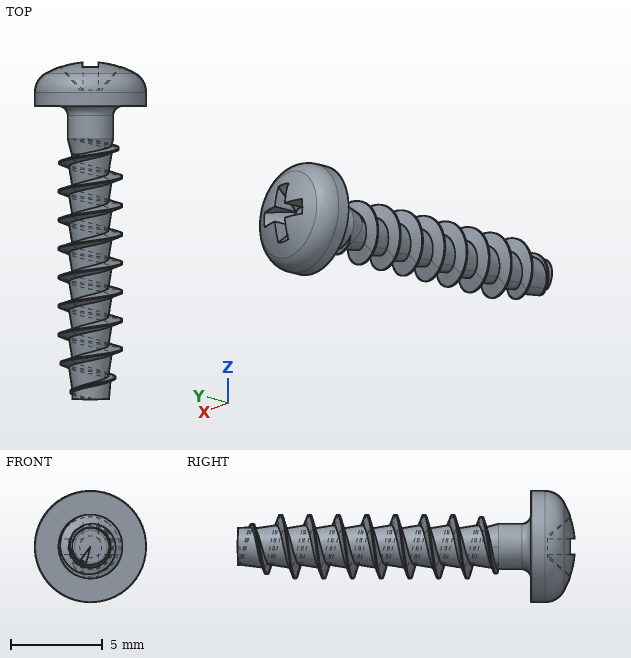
import math
import cadquery as cq


head_radius = 3.05
head_side_height = 0.75
crown_radius = 5.0
head_corner_radius = 1.2
rim_edge_radius = 0.05

recess_radius = 1.95
recess_floor_radius = 0.6
recess_width = 0.85
recess_top = 2.5
recess_floor = 0.9

collar_radius = 1.25
collar_length = 1.78
neck_fillet = 0.5
neck_taper_length = 0.85
neck_end_radius = 1.02
core_radius = 0.99
shank_length = 16.0
point_radius = 0.89
point_height = 0.04

pitch = 1.567
thread_radius = 1.75
crest_width = 0.08
head_flank_angle = 14.0
tip_flank_angle = 19.0
first_crest = -1.91
run_in_start = -0.6
run_in_end = 0.85
run_in_radius = 1.28
run_out_start = 7.57
run_out_end = 8.9
run_out_radius = 1.02

swell_radius = 1.21
swell_fade_start = 7.9
swell_fade_end = 8.8

screw_start = -1.1
screw_turns = 11
samples_per_turn = 16


def ramp(value, start, end):
    """Fraction of the way from start to end, limited to 0..1."""
    return min(1.0, max(0.0, (value - start) / (end - start)))


def make_head():
    """Revolved head, collar and tapered neck."""
    corner_r = head_radius - head_corner_radius
    centre_gap = crown_radius - head_corner_radius
    crown_centre = head_side_height - math.sqrt(centre_gap**2 - corner_r**2)
    crown_top = crown_centre + crown_radius
    blend_angle = math.asin(corner_r / centre_gap)
    blend_r = crown_radius * math.sin(blend_angle)
    blend_y = crown_centre + crown_radius * math.cos(blend_angle)
    corner_angle = (math.pi / 2 + blend_angle) / 2
    crown_mid_angle = blend_angle / 2
    diagonal = math.sqrt(0.5)

    return (
        cq.Workplane("XY")
        .moveTo(0, crown_top)
        .threePointArc(
            (
                crown_radius * math.sin(crown_mid_angle),
                crown_centre + crown_radius * math.cos(crown_mid_angle),
            ),
            (blend_r, blend_y),
        )
        .threePointArc(
            (
                corner_r + head_corner_radius * math.sin(corner_angle),
                head_side_height + head_corner_radius * math.cos(corner_angle),
            ),
            (head_radius, head_side_height),
        )
        .lineTo(head_radius, rim_edge_radius)
        .threePointArc(
            (head_radius - rim_edge_radius * (1 - diagonal), rim_edge_radius * (1 - diagonal)),
            (head_radius - rim_edge_radius, 0),
        )
        .lineTo(collar_radius + neck_fillet, 0)
        .threePointArc(
            (collar_radius + neck_fillet * (1 - diagonal), -neck_fillet * (1 - diagonal)),
            (collar_radius, -neck_fillet),
        )
        .lineTo(collar_radius, -collar_length)
        .lineTo(neck_end_radius, -collar_length - neck_taper_length)
        .lineTo(0, -collar_length - neck_taper_length)
        .close()
        .revolve(360, (0, 0), (0, 1))
    )


def make_recess():
    """Cross of two slots whose wings narrow towards the recess floor."""
    height = recess_top - recess_floor
    base = cq.Workplane("XZ", origin=(0, recess_top, 0))
    cross = base.rect(recess_width, 2 * head_radius).extrude(height)
    cross = cross.union(base.rect(2 * head_radius, recess_width).extrude(height))
    envelope = (
        base.circle(recess_radius)
        .workplane(offset=height)
        .circle(recess_floor_radius)
        .loft(ruled=True)
    )
    return cross.intersect(envelope)


def helix_point(turn, radius, axial):
    """Point on the thread helix; axial shifts it towards the tip."""
    angle = 2 * math.pi * turn
    return cq.Vector(
        radius * math.sin(angle),
        first_crest - pitch * turn - axial,
        -radius * math.cos(angle),
    )


def thread_corners(turn):
    """Head foot, crest edges and tip foot of the tooth, as helix points."""
    rise = (thread_radius - run_in_radius) * (1 - ramp(turn, run_in_start, run_in_end))
    fall = (thread_radius - run_out_radius) * ramp(turn, run_out_start, run_out_end)
    crest = thread_radius - rise - fall
    swell = swell_radius - (swell_radius - core_radius) * ramp(turn, swell_fade_start, swell_fade_end)

    half_crest = crest_width / 2
    head_slope = math.tan(math.radians(head_flank_angle))
    tip_slope = math.tan(math.radians(tip_flank_angle))
    head_foot = half_crest + (crest - core_radius) * head_slope
    taper = (swell - core_radius) / (pitch - head_foot)
    tip_foot = max(half_crest, (half_crest + (crest - swell) * tip_slope) / (1 - taper * tip_slope))
    return [
        helix_point(turn, core_radius, -head_foot),
        helix_point(turn, crest, -half_crest),
        helix_point(turn, crest, half_crest),
        helix_point(turn, swell - taper * tip_foot, tip_foot),
    ]


def turn_rails(start):
    """One turn of the four tooth edges, as splines."""
    rings = [thread_corners(start + i / samples_per_turn) for i in range(samples_per_turn + 1)]
    return [cq.Edge.makeSpline(list(corner)) for corner in zip(*rings)]


def on_axis(point):
    """Foot of the point on the screw axis."""
    return cq.Vector(0, point.y, 0)


def make_screw_end(rail):
    """Helical ramp from a one-turn rail in to the axis."""
    axis = cq.Edge.makeLine(on_axis(rail.startPoint()), on_axis(rail.endPoint()))
    return cq.Face.makeRuledSurface(rail, axis)


def make_screw_cap(tooth, neighbour):
    """Flat radial face closing one pitch: the tooth and the foot of its neighbour."""
    outline = list(tooth)
    if neighbour.y < tooth[0].y:
        outline += [neighbour, on_axis(neighbour), on_axis(tooth[0])]
    else:
        outline += [on_axis(tooth[-1]), on_axis(neighbour), neighbour]
    return cq.Face.makeFromWires(cq.Wire.makePolygon(outline, close=True))


def make_threaded_core():
    """Solid threaded core with its tapered stretches, cut square at collar and tip."""
    rails = [turn_rails(screw_start + turn) for turn in range(screw_turns)]
    faces = []
    for tooth in rails:
        faces += [cq.Face.makeRuledSurface(a, b) for a, b in zip(tooth, tooth[1:])]
    for tooth, next_tooth in zip(rails, rails[1:]):
        faces.append(cq.Face.makeRuledSurface(tooth[-1], next_tooth[0]))

    screw_end = screw_start + screw_turns
    first_foot = thread_corners(screw_start + 1)[0]
    last_foot = thread_corners(screw_end - 1)[-1]
    faces += [
        make_screw_end(rails[0][0]),
        make_screw_end(rails[-1][-1]),
        make_screw_cap(thread_corners(screw_start), first_foot),
        make_screw_cap(thread_corners(screw_end), last_foot),
    ]
    core = cq.Solid.makeSolid(cq.Shell.makeShell(faces)).fix()
    zone = (
        cq.Workplane("XZ", origin=(0, -collar_length, 0))
        .circle(head_radius)
        .extrude(shank_length - collar_length)
    )
    return zone.intersect(cq.Workplane(core))


def make_point():
    """Shallow cone on the end face."""
    outline = [(0, -shank_length), (point_radius, -shank_length), (0, -shank_length - point_height)]
    return cq.Workplane("XY").polyline(outline).close().revolve(360, (0, 0), (0, 1))


head = make_head().cut(make_recess())
result = head.union(make_threaded_core()).union(make_point())